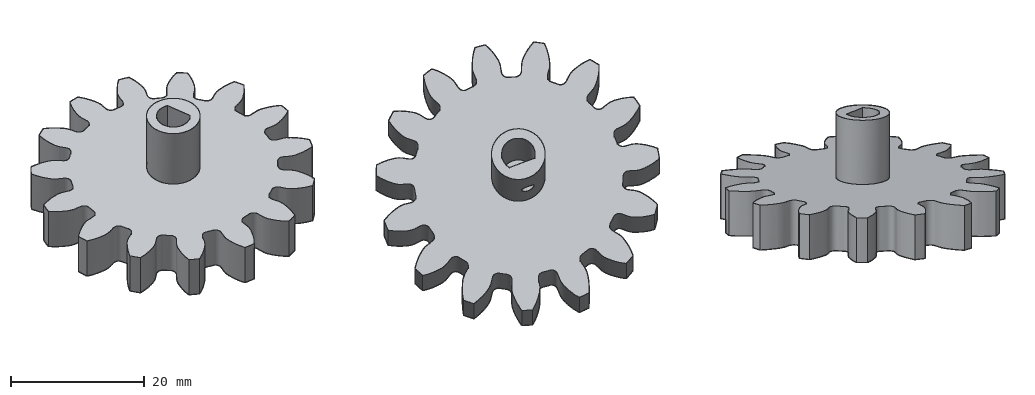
import cadquery as cq
import math

tooth_count = 15
pressure_angle = math.radians(20)
dedendum_ratio = 1.25
overall_width = 42.4
gear_thickness = 7.0
root_fillet = 0.95

hub_diameter = 8.0
hub_height = 10.0
bore_diameter = 5.0
bore_flat_distance = 1.5
set_screw_diameter = 2.0

hub_radius = hub_diameter / 2
tooth_pitch = 2 * math.pi / tooth_count


def involute(angle):
    return math.tan(angle) - angle


base_half_angle = tooth_pitch / 4 + involute(pressure_angle)
tip_pressure_angle = math.acos(math.cos(pressure_angle) * tooth_count / (tooth_count + 2))
tip_half_angle = base_half_angle - involute(tip_pressure_angle)

tip_radius = overall_width / 2 / math.cos(tooth_pitch / 4 - tip_half_angle)
module = 2 * tip_radius / (tooth_count + 2)
pitch_radius = module * tooth_count / 2
base_radius = pitch_radius * math.cos(pressure_angle)
root_radius = pitch_radius - dedendum_ratio * module

fillet_center_radius = root_radius + root_fillet
fillet_offset_angle = math.asin(root_fillet / fillet_center_radius)
fillet_top_radius = fillet_center_radius * math.cos(fillet_offset_angle)


def polar(radius, angle):
    return (radius * math.cos(angle), radius * math.sin(angle))


def flank(center_angle, side):
    """Points up the involute from base circle to tip; side is -1 or +1 about the tooth center.

    Two arcs that meet on the pitch circle follow the involute, so there are five points.
    """
    lower_middle = pressure_angle / 2
    upper_middle = (pressure_angle + tip_pressure_angle) / 2
    points = []
    for local_pressure in (0, lower_middle, pressure_angle, upper_middle, tip_pressure_angle):
        half_angle = base_half_angle - involute(local_pressure)
        points.append(polar(base_radius / math.cos(local_pressure), center_angle + side * half_angle))
    return points


def root_arc_points(center_angle, side):
    """Top, middle and bottom of the fillet at the foot of one flank."""
    foot_angle = center_angle + side * base_half_angle
    fillet_angle = foot_angle + side * fillet_offset_angle
    center_x, center_y = polar(fillet_center_radius, fillet_angle)
    middle_direction = fillet_angle + math.pi + side * (math.pi / 2 - fillet_offset_angle) / 2
    middle_x, middle_y = polar(root_fillet, middle_direction)
    return (
        polar(fillet_top_radius, foot_angle),
        (center_x + middle_x, center_y + middle_y),
        polar(root_radius, fillet_angle),
    )


def add_tooth(outline, center_angle):
    """Continue the outline over one tooth and along the root to the next tooth."""
    rise_top, rise_middle, _ = root_arc_points(center_angle, -1)
    fall_top, fall_middle, fall_bottom = root_arc_points(center_angle, 1)
    next_angle = center_angle + tooth_pitch
    next_bottom = root_arc_points(next_angle, -1)[2]
    rising = flank(center_angle, -1)
    falling = flank(center_angle, 1)[::-1]
    return (
        outline.threePointArc(rise_middle, rise_top)
        .lineTo(*rising[0])
        .threePointArc(rising[1], rising[2])
        .threePointArc(rising[3], rising[4])
        .threePointArc(polar(tip_radius, center_angle), falling[0])
        .threePointArc(falling[1], falling[2])
        .threePointArc(falling[3], falling[4])
        .lineTo(*fall_top)
        .threePointArc(fall_middle, fall_bottom)
        .threePointArc(polar(root_radius, center_angle + tooth_pitch / 2), next_bottom)
    )


def make_gear():
    outline = cq.Workplane("XY").moveTo(*root_arc_points(0, -1)[2])
    for tooth in range(tooth_count):
        outline = add_tooth(outline, tooth * tooth_pitch)
    return outline.close().extrude(gear_thickness)


def make_hub():
    return cq.Workplane("XY").circle(hub_radius).extrude(gear_thickness + hub_height)


def make_bore():
    """Blind D-shaped bore from the hub's end down to the gear face, with its flat on the +Y side."""
    flat_half_width = math.sqrt((bore_diameter / 2) ** 2 - bore_flat_distance ** 2)
    return (
        cq.Workplane("XY", origin=(0, 0, gear_thickness))
        .moveTo(flat_half_width, bore_flat_distance)
        .lineTo(-flat_half_width, bore_flat_distance)
        .threePointArc((0, -bore_diameter / 2), (flat_half_width, bore_flat_distance))
        .close()
        .extrude(hub_height)
    )


def make_set_screw_hole():
    """Radial hole at mid-height of the hub, from its +Y side into the bore."""
    return (
        cq.Workplane("XZ", origin=(0, 0, gear_thickness + hub_height / 2))
        .circle(set_screw_diameter / 2)
        .extrude(-hub_radius)
    )


result = make_gear().union(make_hub()).cut(make_bore()).cut(make_set_screw_hole())